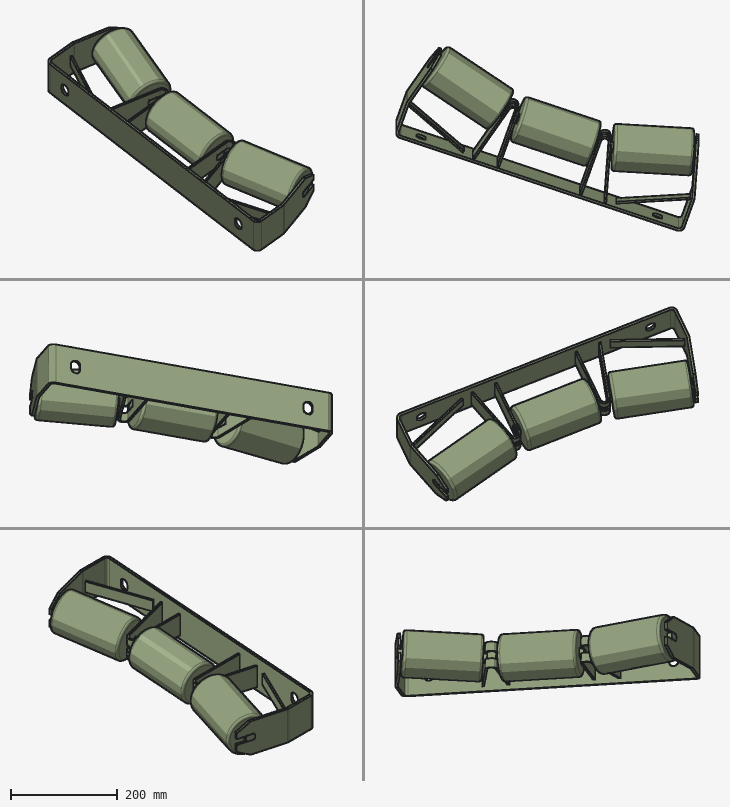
import cadquery as cq
import math

WIDTH = 570.0
HEIGHT = 80.0
FRAME_THICK = 5.0
FRAME_BEND_RADIUS = 11.0
WING_ANGLE = 15.0
KINK_Y = 69.0
WING_TIP_Y = 174.0
TIP_CHAMFER_Y = 28.5
TIP_CHAMFER_Z = 18.0
MOUNT_SLOT_LENGTH = 26.0
MOUNT_SLOT_WIDTH = 18.0
MOUNT_SLOT_X = 233.5

BRACKET_THICK = 4.0
BRACKET_HEIGHT = 50.0
BRACKET_X = 80.0
BRACKET_TOP_Y = 126.0
BEND_RADIUS = 11.5

BRACE_THICK = 4.0
BRACE_HEIGHT = 25.5
BRACE_ANGLE = 22.5
BRACE_WALL_Y = 58.0

ROLLER_DIAMETER = 89.0
ROLLER_LENGTH = 150.0
ROLLER_FILLET = 5.0
SHAFT_DIAMETER = 20.0
SHAFT_FLATS = 14.0
COLLAR_LENGTH = 3.5
MIDDLE_Y = 98.5
MIDDLE_Z = 34.0
END_X = 183.0
END_Y = 123.5
END_Z = 37.5
END_TILT = 2.4

HALF_WIDTH = WIDTH / 2
MID_HEIGHT = HEIGHT / 2
SIN_WING = math.sin(math.radians(WING_ANGLE))
COS_WING = math.cos(math.radians(WING_ANGLE))
TAN_WING = SIN_WING / COS_WING
SIDES = (-1, 1)


def on_side(left_body, side):
    """Return the left-hand body, mirrored across X = 0 for the right-hand side."""
    return left_body if side < 0 else left_body.mirror("YZ")


def at_end(body):
    """Move a body built along the X axis to the left end roller's axis."""
    tilted = body.rotate((0, 0, 0), (0, 1, 0), END_TILT)
    turned = tilted.rotate((0, 0, 0), (0, 0, 1), -WING_ANGLE)
    return turned.translate((-END_X, END_Y, END_Z))


def at_middle(body):
    return body.translate((0, MIDDLE_Y, MIDDLE_Z))


MIDDLE_REACH = BRACKET_X + BRACKET_THICK
WING_REACH = (HALF_WIDTH - END_X) * COS_WING - (END_Y - KINK_Y) * SIN_WING
BEND_X = BRACKET_X + BEND_RADIUS
BEND_Y = BRACKET_TOP_Y - BEND_RADIUS
BEND_REACH = (END_X - BEND_X) * COS_WING + (END_Y - BEND_Y) * SIN_WING
BRACKET_REACH = BEND_REACH - BEND_RADIUS + BRACKET_THICK


def cylinder(diameter, start, end):
    return cq.Workplane("YZ").workplane(offset=start).circle(diameter / 2).extrude(end - start)


def flatted_shaft(start, end):
    """Shaft along X with flats facing up and down."""
    flats = cq.Workplane("XY").box(
        end - start, SHAFT_DIAMETER, SHAFT_FLATS
    ).translate(((start + end) / 2, 0, 0))
    return cylinder(SHAFT_DIAMETER, start, end).intersect(flats)


def make_roller(left_reach, right_reach):
    """Roller on its shaft, centred on the origin along X."""
    half = ROLLER_LENGTH / 2
    shell = cylinder(ROLLER_DIAMETER, -half, half).edges().fillet(ROLLER_FILLET)
    collars = cylinder(SHAFT_DIAMETER, -half - COLLAR_LENGTH, half + COLLAR_LENGTH)
    return shell.union(collars).union(flatted_shaft(-left_reach, right_reach))


def shaft_slot(start, end):
    """Cutter that fits the flatted shaft and opens towards +Y."""
    opening = cq.Workplane("XY").box(
        end - start, BRACKET_TOP_Y, SHAFT_FLATS, centered=(False, False, True)
    ).translate((start, 0, 0))
    return flatted_shaft(start, end).union(opening)


def make_frame():
    wing_length = (WING_TIP_Y - KINK_Y) / COS_WING
    inner_x = HALF_WIDTH - FRAME_THICK
    inner_kink_y = KINK_Y - FRAME_THICK * math.tan(math.radians(WING_ANGLE / 2))
    tip_x = HALF_WIDTH - wing_length * SIN_WING
    inner_tip = (tip_x - FRAME_THICK * COS_WING, WING_TIP_Y - FRAME_THICK * SIN_WING)

    right_half = [
        (HALF_WIDTH, 0), (HALF_WIDTH, KINK_Y), (tip_x, WING_TIP_Y),
        inner_tip, (inner_x, inner_kink_y), (inner_x, FRAME_THICK),
    ]
    left_half = [(-x, y) for x, y in reversed(right_half)]
    frame = cq.Workplane("XY").polyline(right_half + left_half).close().extrude(HEIGHT)

    inner_radius = FRAME_BEND_RADIUS - FRAME_THICK
    outer_bends = [(HALF_WIDTH, 0), (HALF_WIDTH, KINK_Y)]
    inner_bends = [(inner_x, FRAME_THICK), (inner_x, inner_kink_y)]
    for bends, radius in ((outer_bends, FRAME_BEND_RADIUS), (inner_bends, inner_radius)):
        for x, y in bends:
            for side in SIDES:
                corner = cq.selectors.NearestToPointSelector((side * x, y, MID_HEIGHT))
                frame = frame.edges("|Z").edges(corner).fillet(radius)

    chamfer_y = WING_TIP_Y - TIP_CHAMFER_Y
    for edge_z, tip_z in ((0, TIP_CHAMFER_Z), (HEIGHT, HEIGHT - TIP_CHAMFER_Z)):
        corner = cq.Workplane("YZ").polyline(
            [(chamfer_y, edge_z), (WING_TIP_Y, edge_z), (WING_TIP_Y, tip_z)]
        ).close().extrude(HALF_WIDTH, both=True)
        frame = frame.cut(corner)

    mount_slots = (
        cq.Workplane("XZ")
        .pushPoints([(side * MOUNT_SLOT_X, MID_HEIGHT) for side in SIDES])
        .slot2D(MOUNT_SLOT_LENGTH, MOUNT_SLOT_WIDTH, 90)
        .extrude(-FRAME_THICK)
    )
    frame = frame.cut(mount_slots)

    slot = at_end(shaft_slot(-WING_REACH - FRAME_THICK, -WING_REACH + 2 * FRAME_THICK))
    for side in SIDES:
        frame = frame.cut(on_side(slot, side))
    return frame


def hairpin_blank(radius):
    """Solid bounded by the upright leg, the slanted leg and a bend of this radius."""
    foot_x = -BEND_X - (BEND_Y - FRAME_THICK) * TAN_WING - radius / COS_WING
    slant_tangent = (-BEND_X - radius * COS_WING, BEND_Y + radius * SIN_WING)
    return (
        cq.Workplane("XY")
        .moveTo(-BEND_X + radius, FRAME_THICK)
        .lineTo(-BEND_X + radius, BEND_Y)
        .threePointArc((-BEND_X, BEND_Y + radius), slant_tangent)
        .lineTo(foot_x, FRAME_THICK)
        .close()
        .extrude(BRACKET_HEIGHT)
        .translate((0, 0, MIDDLE_Z - BRACKET_HEIGHT / 2))
    )


def make_left_bracket():
    bracket = hairpin_blank(BEND_RADIUS).cut(hairpin_blank(BEND_RADIUS - BRACKET_THICK))
    middle_slot = at_middle(shaft_slot(-BEND_X, -BRACKET_X + BRACKET_THICK))
    end_slot = at_end(shaft_slot(BEND_REACH - BEND_RADIUS - BRACKET_THICK, BEND_REACH))
    return bracket.cut(middle_slot).cut(end_slot)


def make_left_brace():
    """Square-ended bar touching the side wall and the front wall with its lower edges."""
    angle = math.radians(BRACE_ANGLE)
    length = (BRACE_WALL_Y - FRAME_THICK) / math.sin(angle)
    return (
        cq.Workplane("XY")
        .box(length, BRACE_THICK, BRACE_HEIGHT, centered=(False, False, True))
        .rotate((0, 0, 0), (0, 0, 1), -BRACE_ANGLE)
        .translate((-HALF_WIDTH + FRAME_THICK, BRACE_WALL_Y, MID_HEIGHT))
    )


frame = make_frame()
left_bracket = make_left_bracket()
left_brace = make_left_brace()
middle_roller = at_middle(make_roller(MIDDLE_REACH, MIDDLE_REACH))
left_roller = at_end(make_roller(WING_REACH, BRACKET_REACH))

bodies = [frame.solids().val(), middle_roller.solids().val()]
for side in SIDES:
    for left_body in (left_bracket, left_brace, left_roller):
        bodies.append(on_side(left_body, side).solids().val())

result = cq.Compound.makeCompound(bodies)